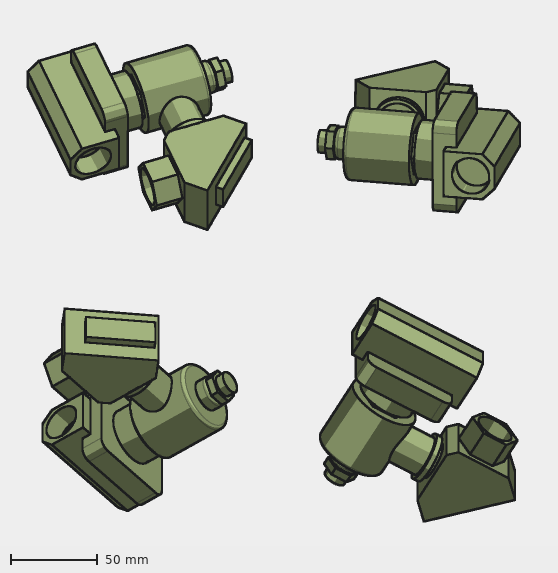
import cadquery as cq
import math


block_length = 70.0
block_height = 28.0
block_front = -14.0
block_back = 16.0
block_chamfer = 7.0
port_diameter = 22.0
port_depth = 13.0
flange_size = 56.0
flange_front = 10.0
flange_thickness = 14.0
flange_corner_radius = 6.0
neck_diameter = 34.2
neck_length = 13.2
seat_across_flats = 26.0
seat_thickness = 2.3

flange_back = flange_front + flange_thickness
neck_end = flange_back + neck_length
seat_end = neck_end + seat_thickness

coil_diameter = 42.0
coil_length = 39.2
coil_edge_radius = 2.0
sleeve_diameter = 19.0
sleeve_length = 8.0
sleeve_edge_radius = 2.5
nut_across_flats = 17.3
nut_thickness = 4.8
stud_diameter = 13.2
overall_back = 96.6
conduit_diameter = 24.2
conduit_height = 18.8
conduit_end = 37.6
collar_diameter = 29.2
collar_thickness = 3.6
spigot_diameter = 22.0
spigot_length = 2.6

coil_end = seat_end + coil_length
sleeve_end = coil_end + sleeve_length
nut_end = sleeve_end + nut_thickness
conduit_y = seat_end + conduit_height
collar_end = conduit_end + collar_thickness
spigot_end = collar_end + spigot_length

box_height = 36.0
box_left = spigot_end
box_right = 92.66
box_front = 38.3
box_corner_y = 48.6
box_left_chamfer = 5.0
box_shoulder_y = 76.9
cover_thickness = 4.6
cover_length = 40.3
cover_width = 16.0
cover_offset = 2.4
outlet_x = 64.1
outlet_across_flats = 26.0
outlet_length = 15.8
outlet_bore_diameter = 22.0
outlet_bore_depth = 13.0


def plane_facing_y(x, y):
    """Plane at the given point with its normal along +Y."""
    return cq.Plane(origin=(x, y, 0), xDir=(1, 0, 0), normal=(0, 1, 0))


def disc_along_y(diameter, x, start, end):
    """Cylinder parallel to Y at height Z = 0 between two Y positions."""
    return cq.Workplane(plane_facing_y(x, start)).circle(diameter / 2).extrude(end - start)


def hexagon_along_y(across_flats, x, start, end):
    """Hexagonal prism along Y with two corners pointing along X."""
    corner_diameter = across_flats / math.cos(math.pi / 6)
    return cq.Workplane(plane_facing_y(x, start)).polygon(6, corner_diameter).extrude(end - start)


def disc_along_x(diameter, y, start, end):
    """Cylinder parallel to X at height Z = 0 between two X positions."""
    return cq.Workplane("YZ", origin=(start, y, 0)).circle(diameter / 2).extrude(end - start)


def make_valve():
    block_depth = block_back - block_front
    block_center = (block_back + block_front) / 2
    block = (
        cq.Workplane("XY")
        .box(block_length, block_depth, block_height)
        .faces("<Y")
        .edges("|X")
        .chamfer(block_chamfer)
        .translate((0, block_center, 0))
    )
    flange = (
        cq.Workplane("XY")
        .box(flange_size, flange_thickness, flange_size)
        .edges("|Y")
        .fillet(flange_corner_radius)
        .translate((0, flange_front + flange_thickness / 2, 0))
    )
    neck = disc_along_y(neck_diameter, 0, flange_back, neck_end)
    seat = hexagon_along_y(seat_across_flats, 0, neck_end, seat_end)
    valve = block.union(flange).union(neck).union(seat)
    for port_start in (-block_length / 2, block_length / 2 - port_depth):
        valve = valve.cut(disc_along_x(port_diameter, 0, port_start, port_start + port_depth))
    return valve


def make_solenoid():
    coil = disc_along_y(coil_diameter, 0, seat_end, coil_end)
    coil = coil.faces(">Y").edges().fillet(coil_edge_radius)
    sleeve = disc_along_y(sleeve_diameter, 0, coil_end, sleeve_end)
    sleeve = sleeve.faces(">Y").edges().fillet(sleeve_edge_radius)
    nut = hexagon_along_y(nut_across_flats, 0, sleeve_end, nut_end)
    stud = disc_along_y(stud_diameter, 0, nut_end, overall_back)
    conduit = disc_along_x(conduit_diameter, conduit_y, 0, conduit_end)
    collar = disc_along_x(collar_diameter, conduit_y, conduit_end, collar_end)
    spigot = disc_along_x(spigot_diameter, conduit_y, collar_end, spigot_end)
    solenoid = coil
    for piece in (sleeve, nut, stud, conduit, collar, spigot):
        solenoid = solenoid.union(piece)
    return solenoid


def make_terminal_box():
    slope_sum = box_right + box_corner_y
    shoulder_difference = box_shoulder_y - box_left
    peak_x = (slope_sum - shoulder_difference) / 2
    peak_y = (slope_sum + shoulder_difference) / 2
    outline = [
        (box_left, box_front + box_left_chamfer),
        (box_left + box_left_chamfer, box_front),
        (box_right - (box_corner_y - box_front), box_front),
        (box_right, box_corner_y),
        (peak_x, peak_y),
        (box_left, box_shoulder_y),
    ]
    body = cq.Workplane("XY").polyline(outline).close().extrude(box_height / 2, both=True)

    slope_plane = cq.Plane(origin=(peak_x, peak_y, 0), xDir=(1, -1, 0), normal=(1, 1, 0))
    cover = (
        cq.Workplane(slope_plane)
        .center(cover_offset + cover_length / 2, 0)
        .rect(cover_length, cover_width)
        .extrude(cover_thickness)
    )

    outlet_end = box_front - outlet_length
    outlet = hexagon_along_y(outlet_across_flats, outlet_x, outlet_end, box_front)
    bore = disc_along_y(outlet_bore_diameter, outlet_x, outlet_end, outlet_end + outlet_bore_depth)
    return body.union(cover).union(outlet).cut(bore)


valve = make_valve()
solenoid = make_solenoid()
terminal_box = make_terminal_box()

result = cq.Compound.makeCompound([valve.val(), solenoid.val(), terminal_box.val()])